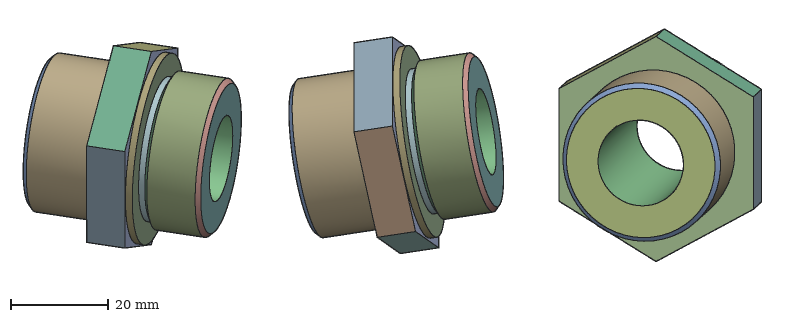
import cadquery as cq
import math

total_length = 38.0
hex_start = 14.95
hex_thickness = 8.15
collar_thickness = 1.45
neck_length = 1.33

hex_across_corners = 47.35
body_diameter = 33.25
collar_diameter = 40.0
neck_diameter = 30.3
bore_diameter = 18.0

end_chamfer = 0.95
neck_cone_length = 0.85

hex_end = hex_start + hex_thickness
collar_end = hex_end + collar_thickness
neck_end = collar_end + neck_length
body_radius = body_diameter / 2
collar_radius = collar_diameter / 2
neck_radius = neck_diameter / 2
chamfered_radius = body_radius - end_chamfer


def turned_body():
    """Stepped body of revolution about the X axis."""
    profile = [
        (0, 0),
        (0, chamfered_radius),
        (end_chamfer, body_radius),
        (hex_end, body_radius),
        (hex_end, collar_radius),
        (collar_end, collar_radius),
        (collar_end, neck_radius),
        (neck_end, neck_radius),
        (neck_end + neck_cone_length, body_radius),
        (total_length - end_chamfer, body_radius),
        (total_length, chamfered_radius),
        (total_length, 0),
    ]
    return cq.Workplane("XY").polyline(profile).close().revolve(360, (0, 0, 0), (1, 0, 0))


def hex_flange():
    """Hexagon with corners at the top and bottom and flats facing Y."""
    corner_radius = hex_across_corners / 2
    corners = []
    for index in range(6):
        angle = math.radians(90 + 60 * index)
        corners.append((corner_radius * math.cos(angle), corner_radius * math.sin(angle)))
    return (
        cq.Workplane("YZ")
        .workplane(offset=hex_start)
        .polyline(corners)
        .close()
        .extrude(hex_thickness)
    )


def through_bore():
    return cq.Workplane("YZ").circle(bore_diameter / 2).extrude(total_length)


result = turned_body().union(hex_flange()).cut(through_bore())